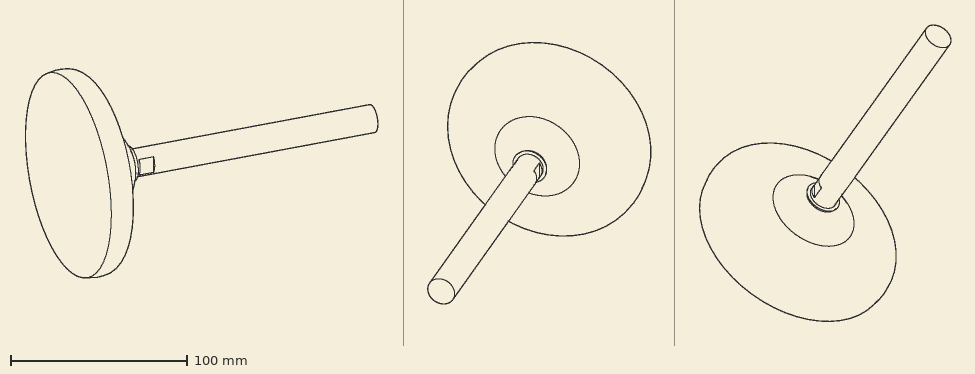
import cadquery as cq
import math

total_length = 189.0
foot_radius = 60.0

sole_radius = 59.2
rim_widest_height = 5.7
rim_band_top = 9.3
rim_band_top_radius = 59.7
shoulder_bottom_height = 16.0
shoulder_bottom_radius = 53.3
shoulder_top_height = 26.3
shoulder_top_radius = 25.5
dome_base_height = 27.8
dome_base_radius = 23.6
dome_top_height = 37.5
dome_top_radius = 9.6
rim_sagitta = 1.7
rim_round_angle = math.radians(35)

rod_radius = 8.1
collar_top_height = 39.0
collar_top_radius = 10.2
flat_bottom_height = 41.0
flat_length = 9.0
across_flats = 13.0


def arc_middle(start, end, bulge_angle, sagitta):
    """Point displaced from the middle of a chord by the sagitta, along the given angle."""
    middle_radius = (start[0] + end[0]) / 2
    middle_height = (start[1] + end[1]) / 2
    return (
        middle_radius + sagitta * math.cos(bulge_angle),
        middle_height + sagitta * math.sin(bulge_angle),
    )


def dome_middle():
    """Point halfway up the dome, on a sphere centred on the axis."""
    height_change = dome_top_height - dome_base_height
    squares_change = dome_base_radius**2 - dome_top_radius**2
    centre_height = (dome_top_height + dome_base_height - squares_change / height_change) / 2
    sphere_radius = math.hypot(dome_base_radius, dome_base_height - centre_height)
    middle_height = (dome_base_height + dome_top_height) / 2
    return (math.sqrt(sphere_radius**2 - (middle_height - centre_height) ** 2), middle_height)


def make_foot():
    rim_start = (rim_band_top_radius, rim_band_top)
    rim_end = (shoulder_bottom_radius, shoulder_bottom_height)
    profile = (
        cq.Workplane("XY")
        .lineTo(sole_radius, 0)
        .lineTo(foot_radius, rim_widest_height)
        .lineTo(*rim_start)
        .threePointArc(arc_middle(rim_start, rim_end, rim_round_angle, rim_sagitta), rim_end)
        .lineTo(shoulder_top_radius, shoulder_top_height)
        .lineTo(dome_base_radius, dome_base_height)
        .threePointArc(dome_middle(), (dome_top_radius, dome_top_height))
        .lineTo(0, dome_top_height)
        .close()
    )
    return profile.revolve(360, (0, 0, 0), (0, 1, 0))


def make_spindle():
    spindle = (
        cq.Workplane("XY")
        .moveTo(0, dome_top_height)
        .lineTo(dome_top_radius, dome_top_height)
        .lineTo(collar_top_radius, collar_top_height)
        .lineTo(rod_radius, collar_top_height)
        .lineTo(rod_radius, total_length)
        .lineTo(0, total_length)
        .close()
        .revolve(360, (0, 0, 0), (0, 1, 0))
    )
    cutter_width = 2 * rod_radius
    for side in (-1, 1):
        cutter = cq.Workplane("XY").box(cutter_width, flat_length, cutter_width).translate(
            (side * (across_flats + cutter_width) / 2, flat_bottom_height + flat_length / 2, 0)
        )
        spindle = spindle.cut(cutter)
    return spindle


foot = make_foot()
spindle = make_spindle()

result = cq.Compound.makeCompound([foot.val(), spindle.val()])